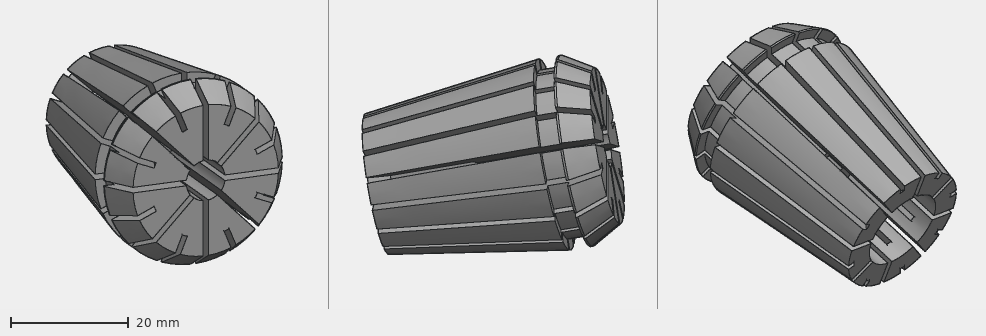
import cadquery as cq
import math

length = 40.0
max_diameter = 33.0
max_radius = max_diameter / 2

body_length = 30.8
body_taper = 8.0
groove_width = 3.6
groove_radius = 14.6
land_width = 0.35
nose_taper = 30.0

bore_radius = 3.6
counterbore_radius = 7.5
counterbore_depth = 18.0

slots_per_end = 8
slot_pitch = 360.0 / slots_per_end
slot_width = 1.0
cut_clearance = 2.0
slot_top = max_radius + cut_clearance

arc_radius = 40.0

nose_slot_floor = -2.65
nose_slot_arc_center = 30.1

small_end_slot_floor = 4.8
small_end_slot_arc_center = length / 2


def make_body():
    """Revolved outer shape with the nut groove, hollowed by the bore."""
    groove_end = body_length + groove_width
    nose_start = groove_end + land_width
    small_radius = max_radius - body_length * math.tan(math.radians(body_taper))
    nose_radius = max_radius - (length - nose_start) * math.tan(math.radians(nose_taper))
    return (
        cq.Workplane("XY")
        .moveTo(0, counterbore_radius)
        .lineTo(0, small_radius)
        .lineTo(body_length, max_radius)
        .lineTo(body_length, groove_radius)
        .lineTo(groove_end, groove_radius)
        .lineTo(groove_end, max_radius)
        .lineTo(nose_start, max_radius)
        .lineTo(length, nose_radius)
        .lineTo(length, bore_radius)
        .lineTo(counterbore_depth, bore_radius)
        .lineTo(counterbore_depth, counterbore_radius)
        .close()
        .revolve(360, (0, 0, 0), (1, 0, 0))
    )


def arc_height(x, center, lowest):
    """Distance from the axis of a floor arc that is lowest at X = center."""
    return lowest + arc_radius - math.sqrt(arc_radius**2 - (x - center) ** 2)


def make_nose_slot():
    """Slot open at the nose, with an arc floor that leaves through the small end face."""
    center = nose_slot_arc_center
    start_height = arc_height(0, center, nose_slot_floor)
    middle_height = arc_height(center / 2, center, nose_slot_floor)
    return (
        cq.Workplane("XY")
        .moveTo(0, slot_top)
        .lineTo(0, start_height)
        .threePointArc((center / 2, middle_height), (center, nose_slot_floor))
        .lineTo(length, nose_slot_floor)
        .lineTo(length, slot_top)
        .close()
        .extrude(slot_width / 2, both=True)
    )


def make_small_end_slot():
    """Slot open at the small end, with an arc floor that leaves through the nose face."""
    center = small_end_slot_arc_center
    start = counterbore_depth
    middle = (start + length) / 2
    start_height = arc_height(start, center, small_end_slot_floor)
    middle_height = arc_height(middle, center, small_end_slot_floor)
    end_height = arc_height(length, center, small_end_slot_floor)
    return (
        cq.Workplane("XY")
        .moveTo(0, slot_top)
        .lineTo(0, start_height)
        .lineTo(start, start_height)
        .threePointArc((middle, middle_height), (length, end_height))
        .lineTo(length, slot_top)
        .close()
        .extrude(slot_width / 2, both=True)
    )


result = make_body()
nose_slot = make_nose_slot()
small_end_slot = make_small_end_slot()
for index in range(slots_per_end):
    angle = index * slot_pitch
    result = result.cut(nose_slot.rotate((0, 0, 0), (1, 0, 0), angle))
    result = result.cut(small_end_slot.rotate((0, 0, 0), (1, 0, 0), angle + slot_pitch / 2))